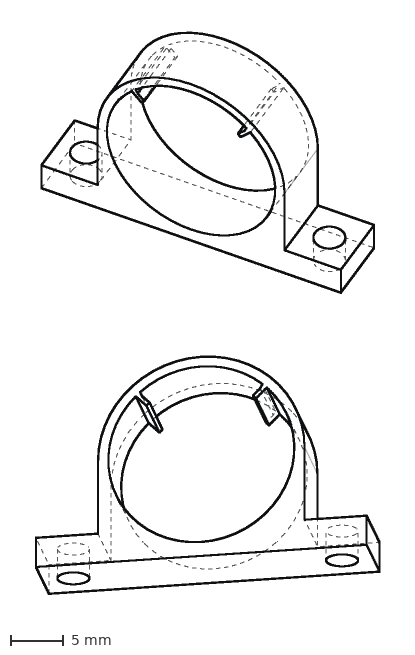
import cadquery as cq
import math

depth = 7.0
flange_length = 6.0
flange_thickness = 3.0
wall = 1.0
overall_length = 31.97
overall_height = 20.41
hole_diameter = 3.05

rib_angle = 45.0
rib_thickness = 0.43
rib_lower_face = 0.03
rib_tip_radius = 7.52
rib_flare_radius = 8.52
rib_flare_angle = 18.0

ring_radius = overall_length / 2 - flange_length
bore_radius = ring_radius - wall
axis_height = overall_height - ring_radius
hole_offset = overall_length / 2 - flange_length / 2
rib_root_radius = bore_radius + wall / 2
rib_upper_face = rib_lower_face + rib_thickness


def extrude_through(outline):
    """Extrude an XZ outline over the full depth, centred on Y = 0."""
    return outline.extrude(depth / 2, both=True)


def make_base():
    """Mounting foot spanning both flanges."""
    outline = cq.Workplane("XZ").rect(overall_length, flange_thickness)
    return extrude_through(outline).translate((0, 0, flange_thickness / 2))


def make_housing():
    """Upright block with a half-round top."""
    outline = (
        cq.Workplane("XZ")
        .moveTo(-ring_radius, 0)
        .lineTo(ring_radius, 0)
        .lineTo(ring_radius, axis_height)
        .threePointArc((0, overall_height), (-ring_radius, axis_height))
        .close()
    )
    return extrude_through(outline)


def make_bore():
    """Through bore along Y."""
    return extrude_through(cq.Workplane("XZ").center(0, axis_height).circle(bore_radius))


def make_right_rib():
    """Rib on the +X side, flared on its upper face where it meets the bore."""
    flare_slope = math.tan(math.radians(rib_flare_angle))
    root_face = rib_upper_face + flare_slope * (rib_root_radius - rib_flare_radius)
    outline = (
        cq.Workplane("XZ")
        .moveTo(rib_tip_radius, rib_lower_face)
        .lineTo(rib_root_radius, rib_lower_face)
        .lineTo(rib_root_radius, root_face)
        .lineTo(rib_flare_radius, rib_upper_face)
        .lineTo(rib_tip_radius, rib_upper_face)
        .close()
    )
    rib = extrude_through(outline).rotate((0, 0, 0), (0, 1, 0), -rib_angle)
    return rib.translate((0, 0, axis_height))


def make_mounting_holes():
    """Vertical screw holes, one through each flange."""
    return (
        cq.Workplane("XY")
        .pushPoints([(-hole_offset, 0), (hole_offset, 0)])
        .circle(hole_diameter / 2)
        .extrude(flange_thickness)
    )


right_rib = make_right_rib()
result = (
    make_base()
    .union(make_housing())
    .cut(make_bore())
    .cut(make_mounting_holes())
    .union(right_rib)
    .union(right_rib.mirror("YZ"))
)